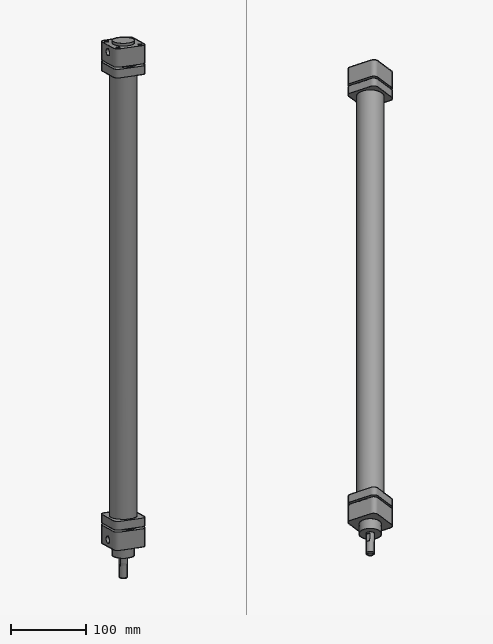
import cadquery as cq

TOTAL_LENGTH = 744.0
ROD_LENGTH = 31.0
NOSE_LENGTH = 15.0
REAR_BOSS_HEIGHT = 4.0
CAP_HEIGHT = 25.0
GAP = 3.0
FLANGE_THICKNESS = 12.0

ROD_TIP_Z = -TOTAL_LENGTH / 2
NOSE_Z = ROD_TIP_Z + ROD_LENGTH
FRONT_CAP_Z = NOSE_Z + NOSE_LENGTH
TUBE_START_Z = FRONT_CAP_Z + CAP_HEIGHT
FRONT_FLANGE_Z = TUBE_START_Z + GAP
REAR_CAP_TOP_Z = TOTAL_LENGTH / 2 - REAR_BOSS_HEIGHT
TUBE_END_Z = REAR_CAP_TOP_Z - CAP_HEIGHT
REAR_FLANGE_Z = TUBE_END_Z - GAP - FLANGE_THICKNESS

BLOCK_WIDTH = 46.0
CORNER_RADIUS = 7.0

TUBE_DIAMETER = 37.0
BOSS_DIAMETER = 30.0

SCREW_HOLE_DIAMETER = 5.0
SCREW_HOLE_DEPTH = 7.5
SCREW_HOLE_SPACING = 33.0
PORT_DIAMETER = 10.0
PORT_DEPTH = 7.5
DRILL_DIAMETER = 7.0
DRILL_DEPTH = 12.0
REAR_PORT_DROP = 10.0
FRONT_PORT_RISE = 10.0

ROD_DIAMETER = 12.0
THREAD_DIAMETER = 11.0
THREAD_LENGTH = 18.0
TAPER_LENGTH = 4.0
ACROSS_FLATS = 10.5
ROD_SHOULDER = 2.0
ROD_TIP_CHAMFER = 1.5


def square_block(bottom_z, height):
    """Square block with rounded upright edges."""
    block = cq.Workplane("XY").workplane(offset=bottom_z).rect(BLOCK_WIDTH, BLOCK_WIDTH).extrude(height)
    return block.edges("|Z").fillet(CORNER_RADIUS)


def cylinder(diameter, bottom_z, height):
    """Upright cylinder on the Z axis."""
    return cq.Workplane("XY").workplane(offset=bottom_z).circle(diameter / 2).extrude(height)


def port(axis_z):
    """Cutter for a blind stepped air port entering from the -Y face."""
    start = cq.Workplane("XZ", origin=(0, -BLOCK_WIDTH / 2, axis_z))
    mouth = start.circle(PORT_DIAMETER / 2).extrude(-PORT_DEPTH)
    return mouth.union(start.circle(DRILL_DIAMETER / 2).extrude(-DRILL_DEPTH))


def make_rear_cap():
    """Rear cap with its boss, four blind screw holes and air port."""
    cap = square_block(TUBE_END_Z, CAP_HEIGHT)
    cap = cap.union(cylinder(BOSS_DIAMETER, REAR_CAP_TOP_Z, REAR_BOSS_HEIGHT))
    screw_holes = (
        cq.Workplane("XY")
        .workplane(offset=REAR_CAP_TOP_Z)
        .rect(SCREW_HOLE_SPACING, SCREW_HOLE_SPACING, forConstruction=True)
        .vertices()
        .circle(SCREW_HOLE_DIAMETER / 2)
        .extrude(-SCREW_HOLE_DEPTH)
    )
    return cap.cut(screw_holes).cut(port(REAR_CAP_TOP_Z - REAR_PORT_DROP))


def make_front_cap():
    """Front cap with its nose and air port."""
    cap = square_block(FRONT_CAP_Z, CAP_HEIGHT)
    cap = cap.union(cylinder(BOSS_DIAMETER, NOSE_Z, NOSE_LENGTH))
    return cap.cut(port(FRONT_CAP_Z + FRONT_PORT_RISE))


def make_flange(bottom_z):
    """Square flange bored to fit around the tube."""
    return square_block(bottom_z, FLANGE_THICKNESS).cut(cylinder(TUBE_DIAMETER, bottom_z, FLANGE_THICKNESS))


def make_tube():
    """Barrel held between the inner faces of the two caps."""
    return cylinder(TUBE_DIAMETER, TUBE_START_Z, TUBE_END_Z - TUBE_START_Z)


def make_rod():
    """Rod end below the nose: shoulder, wrench flats, taper and chamfered threaded end."""
    thread_top_z = ROD_TIP_Z + THREAD_LENGTH
    rod_radius = ROD_DIAMETER / 2
    thread_radius = THREAD_DIAMETER / 2
    rod = (
        cq.Workplane("XZ")
        .moveTo(0, ROD_TIP_Z)
        .lineTo(thread_radius - ROD_TIP_CHAMFER, ROD_TIP_Z)
        .lineTo(thread_radius, ROD_TIP_Z + ROD_TIP_CHAMFER)
        .lineTo(thread_radius, thread_top_z)
        .lineTo(rod_radius, thread_top_z + TAPER_LENGTH)
        .lineTo(rod_radius, NOSE_Z)
        .lineTo(0, NOSE_Z)
        .close()
        .revolve(360, (0, 0), (0, 1))
    )
    flats_height = NOSE_Z - ROD_SHOULDER - thread_top_z
    for side in (-1, 1):
        flat_cutter = (
            cq.Workplane("XY", origin=(0, side * (ACROSS_FLATS + ROD_DIAMETER) / 2, thread_top_z))
            .rect(ROD_DIAMETER, ROD_DIAMETER)
            .extrude(flats_height)
        )
        rod = rod.cut(flat_cutter)
    return rod



rear_cap = make_rear_cap()
front_cap = make_front_cap()
flanges = [make_flange(z) for z in (FRONT_FLANGE_Z, REAR_FLANGE_Z)]
tube = make_tube()
rod = make_rod()

result = cq.Compound.makeCompound(
    [rear_cap.val(), front_cap.val(), *[flange.val() for flange in flanges], tube.val(), rod.val()]
)